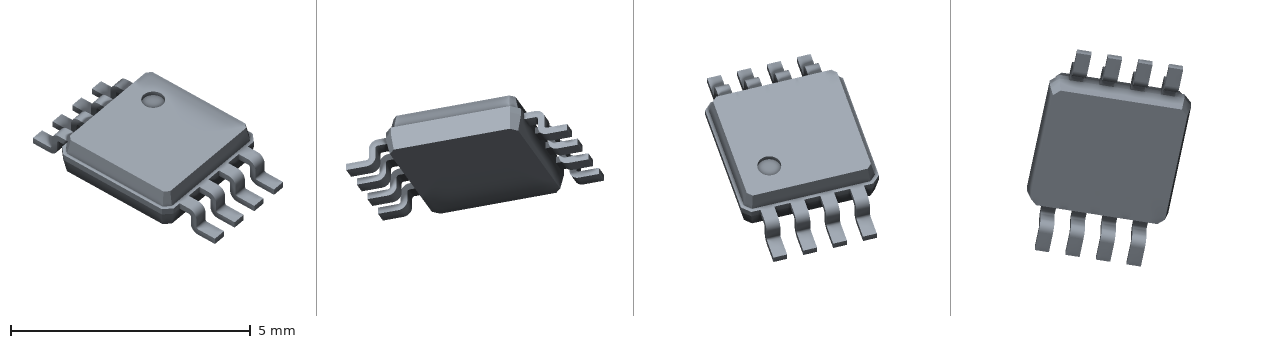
import cadquery as cq
import math


body_size = 3.0
body_height = 0.95
standoff = 0.10
ledge_width = 0.075
draft_inset = 0.075
band_chamfer = 0.175
top_chamfer = 0.10

lead_span = 4.9
lead_width = 0.30
lead_thickness = 0.15
lead_pitch = 0.65
leads_per_side = 4
inner_bend_radius = 0.05
shank_inner_x = 1.80
lead_embed = 0.20

dimple_diameter = 0.50
dimple_depth = 0.10
dimple_x = -0.70
dimple_y = 0.70

shell_height = (body_height - standoff - lead_thickness) / 2
band_bottom = standoff + shell_height
band_top = band_bottom + lead_thickness
outer_bend_radius = inner_bend_radius + lead_thickness
top_inset = ledge_width + draft_inset
chamfer_taper = (band_chamfer - top_chamfer) / top_inset


def chamfered_square(z, inset):
    """Horizontal square wire at height z, offset inward from the middle band outline."""
    half = body_size / 2 - inset
    inner = half - (band_chamfer - chamfer_taper * inset)
    points = [
        (half, inner), (inner, half), (-inner, half), (-half, inner),
        (-half, -inner), (-inner, -half), (inner, -half), (half, -inner),
    ]
    return cq.Wire.makePolygon([cq.Vector(x, y, z) for x, y in points], close=True)


def layer(lower_z, lower_inset, upper_z, upper_inset):
    """One slice of the body between two chamfered squares."""
    wires = [chamfered_square(lower_z, lower_inset), chamfered_square(upper_z, upper_inset)]
    return cq.Workplane(cq.Solid.makeLoft(wires, True))


def make_body():
    lower_shell = layer(standoff, draft_inset, band_bottom, 0)
    band = layer(band_bottom, 0, band_top, 0)
    upper_shell = layer(band_top, ledge_width, body_height, top_inset)
    dimple = (
        cq.Workplane("XY", origin=(dimple_x, dimple_y, body_height))
        .circle(dimple_diameter / 2)
        .extrude(-dimple_depth)
    )
    return lower_shell.union(band).union(upper_shell).cut(dimple)


def make_lead():
    """Gull-wing lead on the +X side, centred on Y = 0."""
    root_x = body_size / 2 - lead_embed
    tip_x = lead_span / 2
    shank_outer_x = shank_inner_x + lead_thickness
    shoulder_x = shank_inner_x - inner_bend_radius
    foot_x = shank_outer_x + inner_bend_radius
    upper_bend_z = band_bottom - inner_bend_radius
    lower_bend_z = lead_thickness + inner_bend_radius
    diagonal = math.sqrt(0.5)

    def upper_mid(radius):
        return (shoulder_x + radius * diagonal, upper_bend_z + radius * diagonal)

    def lower_mid(radius):
        return (foot_x - radius * diagonal, lower_bend_z - radius * diagonal)

    return (
        cq.Workplane("XZ")
        .moveTo(root_x, band_top)
        .lineTo(shoulder_x, band_top)
        .threePointArc(upper_mid(outer_bend_radius), (shank_outer_x, upper_bend_z))
        .lineTo(shank_outer_x, lower_bend_z)
        .threePointArc(lower_mid(inner_bend_radius), (foot_x, lead_thickness))
        .lineTo(tip_x, lead_thickness)
        .lineTo(tip_x, 0)
        .lineTo(foot_x, 0)
        .threePointArc(lower_mid(outer_bend_radius), (shank_inner_x, lower_bend_z))
        .lineTo(shank_inner_x, upper_bend_z)
        .threePointArc(upper_mid(inner_bend_radius), (shoulder_x, band_bottom))
        .lineTo(root_x, band_bottom)
        .close()
        .extrude(lead_width / 2, both=True)
    )


result = make_body()
right_lead = make_lead()
left_lead = right_lead.mirror("YZ")
for index in range(leads_per_side):
    lead_y = (index - (leads_per_side - 1) / 2) * lead_pitch
    for lead in (right_lead, left_lead):
        result = result.union(lead.translate((0, lead_y, 0)))